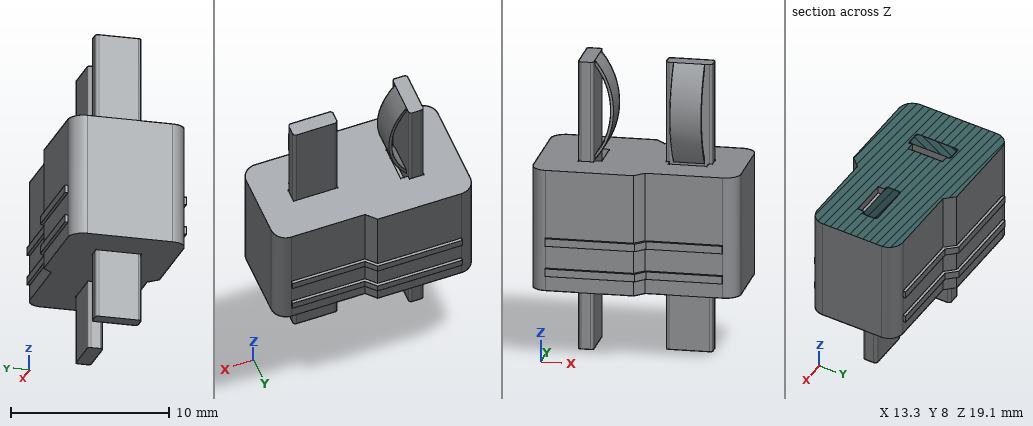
import cadquery as cq
import math

HOUSING_LENGTH = 13.3
HOUSING_HEIGHT = 8.0
WIDE_WIDTH = 7.6
NARROW_WIDTH = 6.3
SHOULDER_START = 6.68
SHOULDER_RUN = 0.61
CORNER_RADIUS = 1.0

RIB_HEIGHT = 0.5
WIDTH_OVER_RIBS = 8.0
RIB_PROJECTION = (WIDTH_OVER_RIBS - WIDE_WIDTH) / 2
RIB_BOTTOMS = [1.01, 3.02]

BLADE_WIDTH = 3.0
BLADE_THICKNESS = 1.0
BLADE_EDGE_RADIUS = 0.2
TAIL_LENGTH = 4.49
CONTACT_LENGTH = 6.6
SPRING_WIDTH = 2.0
SPRING_BOW = 1.2
SPRING_THICKNESS = 0.2

RECESS_WIDTH = 2.5
RECESS_REACH = 0.5
RECESS_DEPTH = 1.0

PIN_PLACES = [(3.13, 0), (9.6, -90)]


def stepped_prism(wide_half, narrow_half, shoulder_start, height):
    """Prism with the stepped housing outline, symmetric about Y = 0, standing on Z = 0."""
    shoulder_end = shoulder_start + SHOULDER_RUN
    return (
        cq.Workplane("XY")
        .moveTo(0, -wide_half)
        .lineTo(shoulder_start, -wide_half)
        .lineTo(shoulder_end, -narrow_half)
        .lineTo(HOUSING_LENGTH, -narrow_half)
        .lineTo(HOUSING_LENGTH, narrow_half)
        .lineTo(shoulder_end, narrow_half)
        .lineTo(shoulder_start, wide_half)
        .lineTo(0, wide_half)
        .close()
        .extrude(height)
    )


def place_on_housing(shape, centre_x, facing):
    """Turn a shape modelled about the Z axis to its facing and move it along X."""
    return shape.rotate((0, 0, 0), (0, 0, 1), facing).translate((centre_x, 0, 0))


def make_rib_band():
    """Band around the housing whose parts outside the body form the two opposite ribs."""
    shoulder_angle = math.atan2((WIDE_WIDTH - NARROW_WIDTH) / 2, SHOULDER_RUN)
    shoulder_shift = RIB_PROJECTION * math.tan(shoulder_angle / 2)
    band = stepped_prism(
        WIDE_WIDTH / 2 + RIB_PROJECTION,
        NARROW_WIDTH / 2 + RIB_PROJECTION,
        SHOULDER_START + shoulder_shift,
        RIB_HEIGHT,
    )
    rib_span = cq.Workplane("XY").box(
        HOUSING_LENGTH - 2 * CORNER_RADIUS,
        WIDTH_OVER_RIBS,
        RIB_HEIGHT,
        centered=(True, True, False),
    )
    return band.intersect(rib_span.translate((HOUSING_LENGTH / 2, 0, 0)))


def make_pin_opening():
    """Square-cornered through hole for the blade plus the blind recess beside it."""
    blade_hole = cq.Workplane("XY").box(
        BLADE_THICKNESS, BLADE_WIDTH, HOUSING_HEIGHT, centered=(True, True, False)
    )
    recess = (
        cq.Workplane("XY")
        .box(
            BLADE_THICKNESS / 2 + RECESS_REACH,
            RECESS_WIDTH,
            RECESS_DEPTH,
            centered=(False, True, False),
        )
        .translate((0, 0, HOUSING_HEIGHT - RECESS_DEPTH))
    )
    return blade_hole.union(recess)


def make_housing():
    """Housing with rounded corners, grip ribs and one opening per pin."""
    body = stepped_prism(WIDE_WIDTH / 2, NARROW_WIDTH / 2, SHOULDER_START, HOUSING_HEIGHT)
    body = body.edges("|Z and (<X or >X)").fillet(CORNER_RADIUS)
    for rib_bottom in RIB_BOTTOMS:
        body = body.union(make_rib_band().translate((0, 0, rib_bottom)))
    for centre_x, facing in PIN_PLACES:
        body = body.cut(place_on_housing(make_pin_opening(), centre_x, facing))
    return body


def make_spring():
    """Bowed strip on the +X blade face, running from the housing top to the blade tip."""
    half_length = CONTACT_LENGTH / 2
    outer_radius = (half_length**2 + SPRING_BOW**2) / (2 * SPRING_BOW)
    inner_radius = outer_radius - SPRING_THICKNESS
    inner_bow = SPRING_BOW - SPRING_THICKNESS
    inner_half_length = math.sqrt(inner_radius**2 - (inner_radius - inner_bow) ** 2)

    face_x = BLADE_THICKNESS / 2
    middle_z = HOUSING_HEIGHT + half_length
    return (
        cq.Workplane("XZ")
        .moveTo(face_x, middle_z - half_length)
        .threePointArc((face_x + SPRING_BOW, middle_z), (face_x, middle_z + half_length))
        .lineTo(face_x, middle_z + inner_half_length)
        .threePointArc((face_x + inner_bow, middle_z), (face_x, middle_z - inner_half_length))
        .close()
        .extrude(SPRING_WIDTH / 2, both=True)
    )


def make_pin():
    """Blade with rounded upright edges and its spring, centred on the Z axis."""
    blade = (
        cq.Workplane("XY")
        .box(
            BLADE_THICKNESS,
            BLADE_WIDTH,
            TAIL_LENGTH + HOUSING_HEIGHT + CONTACT_LENGTH,
            centered=(True, True, False),
        )
        .edges("|Z")
        .fillet(BLADE_EDGE_RADIUS)
        .translate((0, 0, -TAIL_LENGTH))
    )
    return blade.union(make_spring())


housing = make_housing()
pins = [place_on_housing(make_pin(), centre_x, facing) for centre_x, facing in PIN_PLACES]

result = cq.Compound.makeCompound([housing.val(), *[pin.val() for pin in pins]])